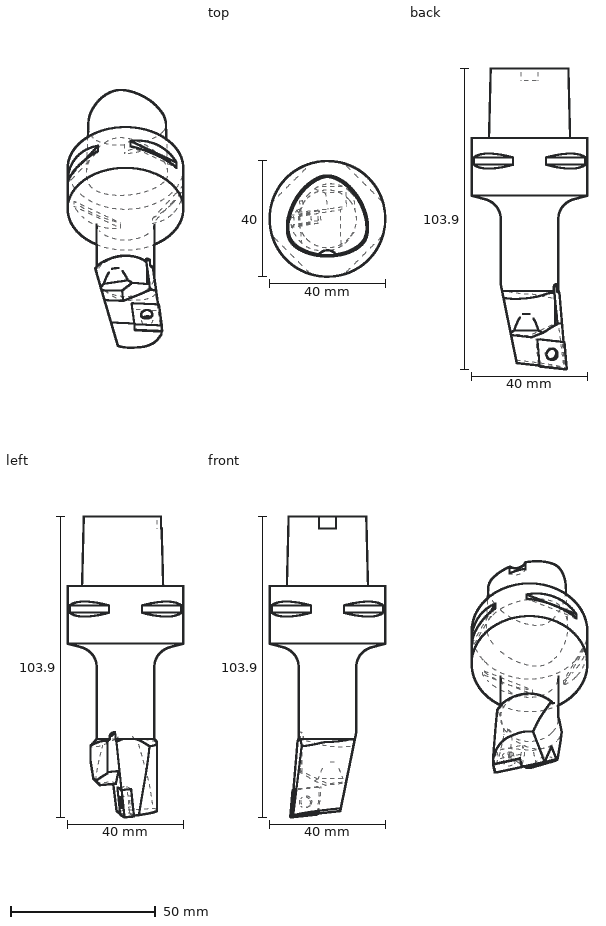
import cadquery as cq
import math


SHANK_HEIGHT = 24.0
SHANK_RADIUS = 14.0
LOBE_HEIGHT = 1.0
SHANK_TAPER = 1 / 40
SHANK_SPANS = 6
SPAN_STEPS = 4
KEY_RADIUS = 3.6
KEY_DEPTH = 4.2
KEY_CENTER_Y = -14.5

FLANGE_RADIUS = 40.0 / 2
FLANGE_HEIGHT = 20.0
NECK_RADIUS = 10.0
NECK_FILLET = 7.0
FLANGE_UNDERSIDE_ANGLE = math.radians(15)

GROOVE_Z = -8.0
GROOVE_FLOOR_DISTANCE = 17.6
GROOVE_FLOOR_WIDTH = 2.5
GROOVE_MOUTH_WIDTH = 5.2
GROOVE_COUNT = 4

HEAD_TOP = -52.8
HEAD_FLARE_ANGLE = math.radians(41)
TIP_Z = -80.0
FRONT_Y = -10.9
FRONT_FLAT_LEFT = -2.4
FRONT_FLAT_RIGHT = -0.3
SIDE_ARC_RADIUS = 9.5
SIDE_ARC_ANGLE = math.radians(54)
BACK_Y = 12.1
BACK_FACE_START = 6.1
BACK_FACE_LEFT = -8.8
BACK_FACE_RUN = 3.5
RELIEF_TOP_X = 10.0
RELIEF_TOP_Z = -50.5
RELIEF_ANGLE = math.radians(11.5)
BACK_SLOPE_TOP_Z = -60.7
BACK_SLOPE_BOTTOM_Y = 8.3
BACK_SLOPE_BOTTOM_Z = -69.4
BACK_SLOPE_MIDDLE = (11.1, -66.6)

TIP = (-12.9, 0.3, TIP_Z)
END_EDGE = cq.Vector(1, 0.16, 0.11)
SIDE_EDGE = cq.Vector(2.0, 2.5, 23.6)
RAKE = cq.Plane(origin=TIP, xDir=END_EDGE, normal=END_EDGE.cross(SIDE_EDGE))
EDGE_ANGLE = END_EDGE.getAngle(SIDE_EDGE)
BODY_SETBACK = 0.3

FLUTE_FLOOR = 2.5
FLUTE_WIDTH = 3.2
FLUTE_TOP = 29.1
FLUTE_FILLET = 1.5
GULLET_TOP = 15.6
GULLET_BOTTOM = 10.2
GULLET_INNER = 14.6

INSERT_SIDE = 9.6
INSERT_THICKNESS = 3.3
INSERT_CORNER = 0.4
INSERT_HOLE_DIAMETER = 3.8

END_MARGIN = 1.0
REACH = 41.6


def polygon_point(angle, z):
    """Point of the three-lobed outline whose outward normal has the given angle."""
    support = SHANK_RADIUS - SHANK_TAPER * z - LOBE_HEIGHT * math.sin(3 * angle)
    slope = -3 * LOBE_HEIGHT * math.cos(3 * angle)
    return cq.Vector(
        support * math.cos(angle) - slope * math.sin(angle),
        support * math.sin(angle) + slope * math.cos(angle),
        z,
    )


def polygon_section(z):
    """Closed outline with one lobe toward +Y, made of smoothly joined curves."""
    span = 2 * math.pi / SHANK_SPANS
    edges = []
    for i in range(SHANK_SPANS):
        angles = [span * (i + j / SPAN_STEPS) for j in range(SPAN_STEPS + 1)]
        points = [polygon_point(a, z) for a in angles]
        ends = [cq.Vector(-math.sin(a), math.cos(a), 0) for a in (angles[0], angles[-1])]
        edges.append(cq.Edge.makeSpline(points, tangents=ends))
    return cq.Wire.assembleEdges(edges)


def make_shank():
    shank = cq.Workplane(cq.Solid.makeLoft([polygon_section(0), polygon_section(SHANK_HEIGHT)]))
    key = (
        cq.Workplane("XY", origin=(0, KEY_CENTER_Y, SHANK_HEIGHT))
        .circle(KEY_RADIUS)
        .extrude(-KEY_DEPTH)
    )
    return shank.cut(key)


def make_flange_and_neck():
    """Revolved flange whose sloping underside blends into the neck with a round."""
    blend_center_r = NECK_RADIUS + NECK_FILLET
    blend_start_r = blend_center_r - NECK_FILLET * math.sin(FLANGE_UNDERSIDE_ANGLE)
    blend_start_z = -FLANGE_HEIGHT - (FLANGE_RADIUS - blend_start_r) * math.tan(FLANGE_UNDERSIDE_ANGLE)
    blend_center_z = blend_start_z - NECK_FILLET * math.cos(FLANGE_UNDERSIDE_ANGLE)
    middle = (math.pi / 2 - FLANGE_UNDERSIDE_ANGLE) / 2
    blend_middle = (
        blend_center_r - NECK_FILLET * math.cos(middle),
        blend_center_z + NECK_FILLET * math.sin(middle),
    )
    body = (
        cq.Workplane("XZ")
        .moveTo(0, 0)
        .lineTo(FLANGE_RADIUS, 0)
        .lineTo(FLANGE_RADIUS, -FLANGE_HEIGHT)
        .lineTo(blend_start_r, blend_start_z)
        .threePointArc(blend_middle, (NECK_RADIUS, blend_center_z))
        .lineTo(NECK_RADIUS, HEAD_TOP)
        .lineTo(0, HEAD_TOP)
        .close()
        .revolve(360, (0, 0, 0), (0, 1, 0))
    )
    for i in range(GROOVE_COUNT):
        body = body.cut(make_groove().rotate((0, 0, 0), (0, 0, 1), (i + 0.5) * 360 / GROOVE_COUNT))
    return body


def make_groove():
    """Straight groove with sloping sides, cutting the +X side of the flange."""
    floor = GROOVE_FLOOR_WIDTH / 2
    mouth = GROOVE_MOUTH_WIDTH / 2
    return (
        cq.Workplane("XZ")
        .polyline([
            (GROOVE_FLOOR_DISTANCE, GROOVE_Z - floor),
            (FLANGE_RADIUS, GROOVE_Z - mouth),
            (FLANGE_RADIUS, GROOVE_Z + mouth),
            (GROOVE_FLOOR_DISTANCE, GROOVE_Z + floor),
        ])
        .close()
        .extrude(REACH, both=True)
    )


def make_head_blank():
    """Head outline, trimmed at the top by a cone that grows from the neck."""
    def arc_offset(angle):
        return SIDE_ARC_RADIUS * math.sin(angle), SIDE_ARC_RADIUS * (1 - math.cos(angle))

    end_x, end_y = arc_offset(SIDE_ARC_ANGLE)
    mid_x, mid_y = arc_offset(SIDE_ARC_ANGLE / 2)
    side_y = FRONT_Y + end_y
    right_end_x = FRONT_FLAT_RIGHT + end_x
    left_end_x = FRONT_FLAT_LEFT - end_x
    left_x = TIP[0] - END_MARGIN
    right_run = RELIEF_TOP_X - right_end_x
    left_run = left_end_x - left_x
    rise = math.tan(SIDE_ARC_ANGLE)
    height = HEAD_TOP - TIP_Z + END_MARGIN
    back_corner = (BACK_FACE_LEFT + BACK_FACE_RUN, BACK_FACE_START + BACK_FACE_RUN)
    blank = (
        cq.Workplane("XY", origin=(0, 0, TIP_Z - END_MARGIN))
        .moveTo(FRONT_FLAT_LEFT, FRONT_Y)
        .lineTo(FRONT_FLAT_RIGHT, FRONT_Y)
        .threePointArc((FRONT_FLAT_RIGHT + mid_x, FRONT_Y + mid_y), (right_end_x, side_y))
        .lineTo(RELIEF_TOP_X, side_y + right_run * rise)
        .lineTo(RELIEF_TOP_X, BACK_FACE_START)
        .threePointArc((0, BACK_Y), back_corner)
        .lineTo(BACK_FACE_LEFT, BACK_FACE_START)
        .lineTo(left_x, BACK_FACE_START)
        .lineTo(left_x, side_y + left_run * rise)
        .lineTo(left_end_x, side_y)
        .threePointArc((FRONT_FLAT_LEFT - mid_x, FRONT_Y + mid_y), (FRONT_FLAT_LEFT, FRONT_Y))
        .close()
        .extrude(height)
    )
    cone = cq.Workplane(cq.Solid.makeCone(
        NECK_RADIUS, NECK_RADIUS + height * math.tan(HEAD_FLARE_ANGLE), height,
        pnt=cq.Vector(0, 0, HEAD_TOP), dir=cq.Vector(0, 0, -1),
    ))
    return blank.intersect(cone)


def along_edge(x, y):
    """Rake face point at distance x from the side cutting edge, measured along local x."""
    return x + y / math.tan(EDGE_ANGLE), y


def make_cutting_side():
    """Region below the rake face, set back from both cutting edges."""
    return (
        cq.Workplane(RAKE)
        .polyline([
            along_edge(BODY_SETBACK, BODY_SETBACK),
            along_edge(REACH, BODY_SETBACK),
            along_edge(REACH, REACH),
            along_edge(BODY_SETBACK, REACH),
        ])
        .close()
        .extrude(REACH / 2)
    )


def make_back_side():
    """Region above the rake face, with the gullet left open underneath."""
    return (
        cq.Workplane(RAKE)
        .polyline([
            along_edge(0, REACH),
            along_edge(0, GULLET_TOP),
            along_edge(FLUTE_FLOOR, GULLET_TOP),
            (GULLET_INNER, GULLET_BOTTOM),
            (REACH, GULLET_BOTTOM),
            (REACH, REACH),
        ])
        .close()
        .extrude(-REACH / 2)
    )


def make_back_slope():
    """Waste below the broken lower back edge of the head."""
    return (
        cq.Workplane("YZ")
        .polyline([
            (BACK_Y, BACK_SLOPE_TOP_Z),
            BACK_SLOPE_MIDDLE,
            (BACK_SLOPE_BOTTOM_Y, BACK_SLOPE_BOTTOM_Z),
            (BACK_SLOPE_BOTTOM_Y, TIP_Z),
            (REACH, TIP_Z),
            (REACH, BACK_SLOPE_TOP_Z),
        ])
        .close()
        .extrude(REACH, both=True)
    )


def make_flute(width):
    """Shallow chip channel along the rake face, rounded all around its floor."""
    return (
        cq.Workplane(RAKE)
        .polyline([
            along_edge(FLUTE_FLOOR, GULLET_BOTTOM),
            along_edge(FLUTE_FLOOR, FLUTE_TOP),
            along_edge(FLUTE_FLOOR - REACH, FLUTE_TOP),
            along_edge(FLUTE_FLOOR - REACH, GULLET_BOTTOM),
        ])
        .close()
        .extrude(-width)
        .faces(cq.selectors.DirectionMinMaxSelector(RAKE.xDir))
        .edges()
        .fillet(FLUTE_FILLET)
    )


def make_end_relief():
    """Waste beyond the sloping +X side of the head and lower neck."""
    drop = RELIEF_TOP_Z - TIP_Z + END_MARGIN
    return (
        cq.Workplane("XZ")
        .polyline([
            (RELIEF_TOP_X, RELIEF_TOP_Z),
            (RELIEF_TOP_X - drop * math.tan(RELIEF_ANGLE), RELIEF_TOP_Z - drop),
            (REACH, RELIEF_TOP_Z - drop),
            (REACH, RELIEF_TOP_Z),
        ])
        .close()
        .extrude(REACH, both=True)
    )


def make_insert_blank():
    """Rhombic insert without its hole; also the shape of the pocket that holds it."""
    height = INSERT_SIDE * math.sin(EDGE_ANGLE)
    return (
        cq.Workplane(RAKE)
        .polyline([
            along_edge(0, 0),
            along_edge(INSERT_SIDE, 0),
            along_edge(INSERT_SIDE, height),
            along_edge(0, height),
        ])
        .close()
        .extrude(INSERT_THICKNESS)
        .edges(cq.selectors.ParallelDirSelector(RAKE.zDir))
        .fillet(INSERT_CORNER)
    )


def make_insert():
    center = along_edge(INSERT_SIDE / 2, INSERT_SIDE * math.sin(EDGE_ANGLE) / 2)
    hole = (
        cq.Workplane(RAKE)
        .center(*center)
        .circle(INSERT_HOLE_DIAMETER / 2)
        .extrude(INSERT_THICKNESS)
    )
    return make_insert_blank().cut(hole)


def make_holder():
    back = make_back_side().cut(make_back_slope()).cut(make_flute(REACH / 2))
    head = make_head_blank().intersect(make_cutting_side().union(back))
    return (
        make_flange_and_neck()
        .union(make_shank())
        .union(head)
        .cut(make_flute(FLUTE_WIDTH))
        .cut(make_end_relief())
        .cut(make_insert_blank())
    )


holder = make_holder()
insert = make_insert()
result = cq.Compound.makeCompound([holder.val(), insert.val()])